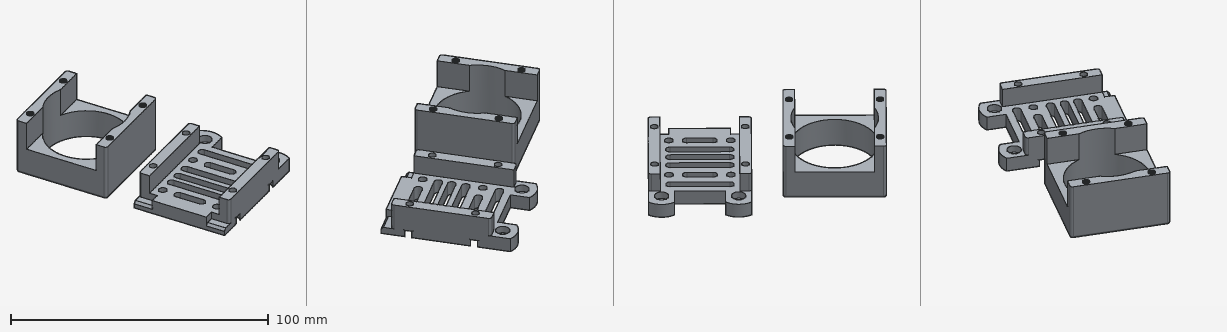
import cadquery as cq

side = 40.1
gap = 12.2
rail_width = 4.6
corner_radius = 1.1
screw_inset = 2.4
screw_pitch = 26.3

housing_height = 24.0
housing_floor = 12.0
housing_edge_radius = 0.8
bore_diameter = 34.0
thread_minor_diameter = 2.5
thread_major_diameter = 2.9
thread_pitch = 0.5
thread_turns = 20
screw_hole_depth = thread_turns * thread_pitch

plate_left = side + gap
plate_thickness = 6.0
plate_height = 14.0
plate_front_lip = 4.1
ledge_width = 8.0
ledge_height = 3.0
ledge_chamfer = 1.0
clearance_diameter = 3.0
head_diameter = 5.5
head_depth = 3.0

total_depth = 53.5
ear_width = 10.2
ear_arc_rise = 1.7
ear_hole_y = 47.5
ear_hole_diameter = 3.3

slot_width = 3.3
long_slot_length = 26.5
short_slot_length = 13.5
long_slot_ys = [14.9, 20.2, 25.85, 39.3]
short_slot_ys = [8.5, 32.6]
floor_hole_spacing = 24.0
floor_hole_diameter = 3.3


def block(x, y, z, length, depth, height):
    """Box with its minimum corner at (x, y, z)."""
    return cq.Workplane("XY").box(length, depth, height, centered=False).translate((x, y, z))


def cylinders(points, diameter, bottom, height):
    """Upright cylinders at the given plan points."""
    return cq.Workplane("XY", origin=(0, 0, bottom)).pushPoints(points).circle(diameter / 2).extrude(height)


def screw_points(left, front):
    """The four rail screw positions of a footprint whose corner is at (left, front)."""
    centre_y = front + side / 2
    return [
        (x, y)
        for x in (left + screw_inset, left + side - screw_inset)
        for y in (centre_y - screw_pitch / 2, centre_y + screw_pitch / 2)
    ]


def make_thread_cutter():
    """Blind hole standing on the origin, its thread simplified to stacked rings under a wide mouth."""
    minor_radius = thread_minor_diameter / 2
    major_radius = thread_major_diameter / 2
    outline = cq.Workplane("XZ").lineTo(minor_radius, 0)
    for turn in range(thread_turns):
        groove_bottom = turn * thread_pitch
        outline = outline.lineTo(minor_radius, groove_bottom + thread_pitch / 4)
        outline = outline.lineTo(major_radius, groove_bottom + thread_pitch / 2)
        outline = outline.lineTo(major_radius, groove_bottom + thread_pitch * 3 / 4)
        if turn < thread_turns - 1:
            outline = outline.lineTo(minor_radius, groove_bottom + thread_pitch)
    outline = outline.lineTo(major_radius, screw_hole_depth)
    return outline.lineTo(0, screw_hole_depth).close().revolve(360, (0, 0, 0), (0, 1, 0))


def make_housing():
    centre = side / 2
    body = block(0, 0, 0, side, side, housing_height).edges("|Z").fillet(corner_radius)
    body = body.faces("<Z").edges().fillet(housing_edge_radius)

    channel_width = side - 2 * rail_width
    body = body.cut(block(rail_width, 0, housing_floor, channel_width, side, housing_height - housing_floor))
    body = body.cut(cylinders([(centre, centre)], bore_diameter, 0, housing_height))

    thread_cutter = make_thread_cutter()
    hole_bottom = housing_height - screw_hole_depth
    for x, y in screw_points(0, 0):
        body = body.cut(thread_cutter.translate((x, y, hole_bottom)))
    return body


def make_ear(left):
    """Tab with a shallow arched end, starting at the back of the plate floor."""
    back = plate_front_lip + side
    shoulder = total_depth - ear_arc_rise
    return (
        cq.Workplane("XY")
        .moveTo(left, back)
        .lineTo(left, shoulder)
        .threePointArc((left + ear_width / 2, total_depth), (left + ear_width, shoulder))
        .lineTo(left + ear_width, back)
        .close()
        .extrude(plate_thickness)
    )


def cut_front_ledges(body):
    """Lower the two front corners of the plate to bevelled ledges."""
    ledge = (
        cq.Workplane("YZ")
        .moveTo(0, plate_thickness)
        .lineTo(0, ledge_height - ledge_chamfer)
        .lineTo(ledge_chamfer, ledge_height)
        .lineTo(plate_front_lip + corner_radius, ledge_height)
        .lineTo(plate_front_lip + corner_radius, plate_thickness)
        .close()
        .extrude(ledge_width)
    )
    for left in (plate_left, plate_left + side - ledge_width):
        body = body.cut(ledge.translate((left, 0, 0)))
    return body


def make_rails():
    """Two rails on a common base, with rounded outer corners."""
    rails = block(plate_left, plate_front_lip, 0, side, side, plate_height).edges("|Z").fillet(corner_radius)
    channel_left = plate_left + rail_width
    channel_width = side - 2 * rail_width
    channel_height = plate_height - plate_thickness
    return rails.cut(block(channel_left, plate_front_lip, plate_thickness, channel_width, side, channel_height))


def cut_ventilation(body):
    """Cut the slots, and the round holes beside the short slots, through the plate floor."""
    centre_x = plate_left + side / 2
    for length, slot_ys in ((long_slot_length, long_slot_ys), (short_slot_length, short_slot_ys)):
        centres = [(centre_x, y) for y in slot_ys]
        slots = cq.Workplane("XY").pushPoints(centres).slot2D(length, slot_width).extrude(plate_thickness)
        body = body.cut(slots)

    hole_xs = (centre_x - floor_hole_spacing / 2, centre_x + floor_hole_spacing / 2)
    hole_points = [(x, y) for x in hole_xs for y in short_slot_ys]
    return body.cut(cylinders(hole_points, floor_hole_diameter, 0, plate_thickness))


def make_plate():
    floor = block(plate_left, 0, 0, side, plate_front_lip + side, plate_thickness)
    body = cut_front_ledges(floor).union(make_rails())

    ear_lefts = [plate_left, plate_left + side - ear_width]
    for left in ear_lefts:
        body = body.union(make_ear(left))
    ear_points = [(left + ear_width / 2, ear_hole_y) for left in ear_lefts]
    body = body.cut(cylinders(ear_points, ear_hole_diameter, 0, plate_thickness))
    body = body.cut(cylinders(ear_points, head_diameter, plate_thickness - head_depth, head_depth))

    points = screw_points(plate_left, plate_front_lip)
    body = body.cut(cylinders(points, clearance_diameter, 0, plate_height))
    body = body.cut(cylinders(points, head_diameter, 0, head_depth))

    return cut_ventilation(body)


housing = make_housing()
plate = make_plate()
result = cq.Compound.makeCompound([housing.val(), plate.val()])